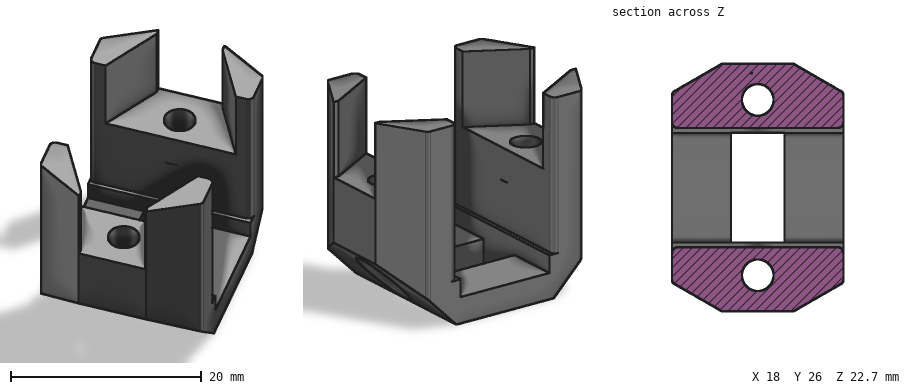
import cadquery as cq
import math

width = 18.0
length = 26.0
height = 22.65

front_face_width = 7.5
corner_angle = 30.0
outer_edge_radius = 0.5
bottom_bevel = 6.7

floor_thickness = 3.0
lower_channel_width = 11.5
upper_channel_width = 12.5
ledge_height = 5.0
inner_edge_radius = 0.6

window_width = 5.6

gap_floor_height = 14.1
gap_outer_width = 7.3
gap_straight_depth = 0.6
gap_flare_angle = 30.0

hole_spacing = 18.4
hole_diameter = 3.3
head_diameter = 5.8
head_seat_height = 10.35


def make_body():
    """Octagonal column with softened side corners and bevelled lower ends."""
    half_width = width / 2
    half_length = length / 2
    half_front = front_face_width / 2
    shoulder = half_length - (half_width - half_front) * math.tan(math.radians(corner_angle))
    column = (
        cq.Workplane("XY")
        .polyline([
            (half_front, half_length),
            (half_width, shoulder),
            (half_width, -shoulder),
            (half_front, -half_length),
            (-half_front, -half_length),
            (-half_width, -shoulder),
            (-half_width, shoulder),
            (-half_front, half_length),
        ])
        .close()
        .extrude(height)
    )
    column = column.faces("<X or >X").edges("|Z").fillet(outer_edge_radius)
    side_profile = (
        cq.Workplane("YZ")
        .polyline([
            (-half_length + bottom_bevel, 0),
            (half_length - bottom_bevel, 0),
            (half_length, bottom_bevel),
            (half_length, height),
            (-half_length, height),
            (-half_length, bottom_bevel),
        ])
        .close()
        .extrude(half_width, both=True)
    )
    return column.intersect(side_profile)


def make_channel(channel_width, bottom):
    """Rectangular cut along X, from the given height up to the top."""
    return (
        cq.Workplane("XY", origin=(0, 0, bottom))
        .rect(width, channel_width)
        .extrude(height - bottom)
    )


def round_channel_mouths(body):
    """Round the upright post edges where the upper channel meets the sides."""
    mouth_edges = cq.selectors.BoxSelector(
        (-width, -upper_channel_width / 2 - inner_edge_radius / 2, ledge_height),
        (width, upper_channel_width / 2 + inner_edge_radius / 2, height),
    )
    wall_edges = body.faces("<X or >X").edges("|Z").edges(mouth_edges)
    return wall_edges.fillet(inner_edge_radius)


def make_post_gap(end):
    """Gap between the posts at one end (+1 or -1 along Y), widening towards the channel."""
    outer_y = length / 2
    flare_y = outer_y - gap_straight_depth
    inner_y = upper_channel_width / 2
    outer_x = gap_outer_width / 2
    inner_x = outer_x + (flare_y - inner_y) * math.tan(math.radians(gap_flare_angle))
    return (
        cq.Workplane("XY", origin=(0, 0, gap_floor_height))
        .polyline([
            (-outer_x, end * outer_y),
            (outer_x, end * outer_y),
            (outer_x, end * flare_y),
            (inner_x, end * inner_y),
            (-inner_x, end * inner_y),
            (-outer_x, end * flare_y),
        ])
        .close()
        .extrude(height - gap_floor_height)
    )


def make_screw_hole(end):
    """Vertical through hole with a screw-head bore entering from below."""
    hole_y = end * hole_spacing / 2
    shank = cq.Workplane("XY").center(0, hole_y).circle(hole_diameter / 2).extrude(height)
    head = cq.Workplane("XY").center(0, hole_y).circle(head_diameter / 2).extrude(head_seat_height)
    return shank.union(head)


def make_window():
    """Rectangular opening through the floor, as long as the channel is wide."""
    return cq.Workplane("XY").rect(window_width, lower_channel_width).extrude(floor_thickness)


result = make_body()
result = result.cut(make_channel(upper_channel_width, ledge_height))
result = round_channel_mouths(result)
result = result.cut(make_channel(lower_channel_width, floor_thickness))
result = result.cut(make_window())
for end in (-1, 1):
    result = result.cut(make_post_gap(end))
    result = result.cut(make_screw_hole(end))